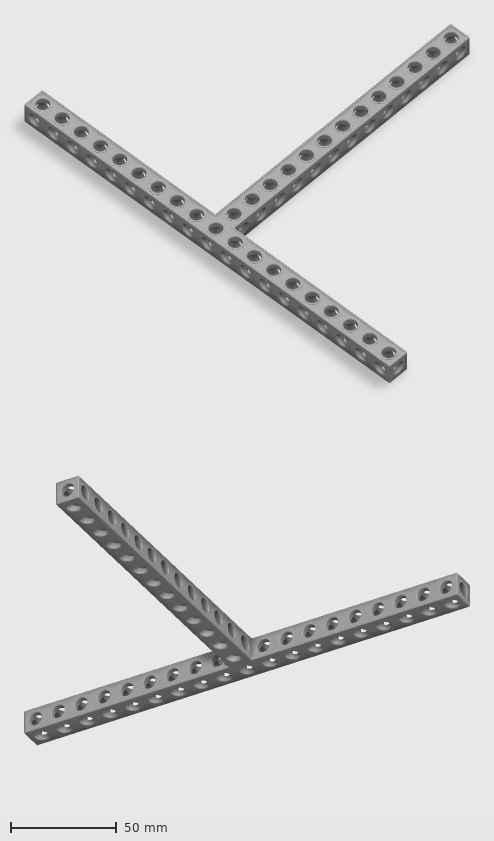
import cadquery as cq

overall_length = 237.5
bar_cells = 19
arm_cells = 13
hole_diameter = 7.0
edge_chamfer = 0.3
hole_land_diameter = 9.3
border_land = 0.78
recess_depth = 0.2

pitch = overall_length / bar_cells
half = pitch / 2
bar_end = overall_length / 2
arm_tip = (arm_cells + 0.5) * pitch
hole_radius = hole_diameter / 2

X_AXIS = cq.Vector(1, 0, 0)
Y_AXIS = cq.Vector(0, 1, 0)
Z_AXIS = cq.Vector(0, 0, 1)

bar_cell_x = [(i - bar_cells // 2) * pitch for i in range(bar_cells)]
arm_cell_y = [(i + 1) * pitch for i in range(arm_cells)]
cell_centres = [(x, 0) for x in bar_cell_x] + [(0, y) for y in arm_cell_y]


def tee_prism(inset, bottom, height):
    """Upright T-shaped prism whose outline is drawn in from the part's by inset."""
    side = half - inset
    end = bar_end - inset
    tip = arm_tip - inset
    outline = [
        (-end, -side),
        (end, -side),
        (end, side),
        (side, side),
        (side, tip),
        (-side, tip),
        (-side, side),
        (-end, side),
    ]
    return cq.Workplane("XY").workplane(offset=bottom).polyline(outline).close().extrude(height)


def through_hole(start, axis, length):
    """Cutting solids of a round through hole with a chamfer at both mouths."""
    mouth_radius = hole_radius + edge_chamfer
    end = start + axis * length
    return [
        cq.Solid.makeCylinder(hole_radius, length, start, axis),
        cq.Solid.makeCone(mouth_radius, hole_radius, edge_chamfer, start, axis),
        cq.Solid.makeCone(mouth_radius, hole_radius, edge_chamfer, end, axis * -1),
    ]


def top_recess():
    """Shallow recess in the top face, leaving the border and a ring around each hole."""
    floor = half - recess_depth
    recess = tee_prism(edge_chamfer + border_land, floor, recess_depth)
    rings = (
        cq.Workplane("XY")
        .workplane(offset=floor)
        .pushPoints(cell_centres)
        .circle(hole_land_diameter / 2)
        .extrude(recess_depth)
    )
    return recess.cut(rings)


def all_holes():
    """Vertical holes, cross holes and lengthwise bores through every cell."""
    cutters = []
    for x, y in cell_centres:
        cutters += through_hole(cq.Vector(x, y, -half), Z_AXIS, pitch)
    for x in bar_cell_x:
        is_middle = abs(x) < half
        length = half + arm_tip if is_middle else pitch
        cutters += through_hole(cq.Vector(x, -half, 0), Y_AXIS, length)
    for y in arm_cell_y:
        cutters += through_hole(cq.Vector(-half, y, 0), X_AXIS, pitch)
    cutters += through_hole(cq.Vector(-bar_end, 0, 0), X_AXIS, overall_length)
    return cutters


tee = tee_prism(0, -half, pitch).edges().chamfer(edge_chamfer)
tee = tee.cut(top_recess())
result = cq.Workplane(tee.val().cut(*all_holes()).Solids()[0])